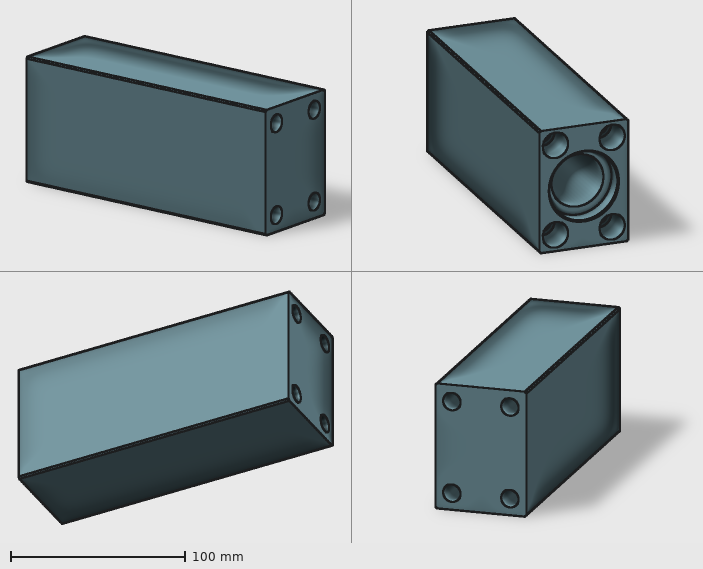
import cadquery as cq

length = 175.0
width = 55.0
height = 75.0
edge_chamfer = 1.0

bolt_spacing_y = 35.0
bolt_spacing_z = 55.0
bolt_hole_diameter = 10.5
counterbore_diameter = 15.5
counterbore_depth = 21.0

seat_diameter = 42.0
seat_depth = 10.0
seat_mouth_chamfer = 0.7
bore_diameter = 32.0
bore_depth = 148.8


def end_face_plane():
    """Plane on the -X end face, with local x along +Y, local y along +Z and normal +X."""
    return cq.Workplane("YZ", origin=(-length / 2, 0, 0))


def block():
    """Rectangular block with its four long edges chamfered."""
    body = cq.Workplane("XY").box(length, width, height)
    return body.edges("|X").chamfer(edge_chamfer)


def bolt_holes():
    """Through holes with deep counterbores opening on the -X end."""
    def cylinders(diameter, depth):
        corners = end_face_plane().rect(bolt_spacing_y, bolt_spacing_z, forConstruction=True).vertices()
        return corners.circle(diameter / 2).extrude(depth)

    return cylinders(bolt_hole_diameter, length).union(cylinders(counterbore_diameter, counterbore_depth))


def stepped_bore():
    """Profile of the bore, from its axis outward, revolved about the X axis."""
    end_x = -length / 2
    seat_radius = seat_diameter / 2
    bore_radius = bore_diameter / 2
    profile = (
        cq.Workplane("XY")
        .moveTo(end_x, 0)
        .lineTo(end_x, seat_radius + seat_mouth_chamfer)
        .lineTo(end_x + seat_mouth_chamfer, seat_radius)
        .lineTo(end_x + seat_depth, seat_radius)
        .lineTo(end_x + seat_depth, bore_radius)
        .lineTo(end_x + bore_depth, bore_radius)
        .lineTo(end_x + bore_depth, 0)
        .close()
    )
    return profile.revolve(360, (0, 0, 0), (1, 0, 0))


result = block().cut(bolt_holes()).cut(stepped_bore())